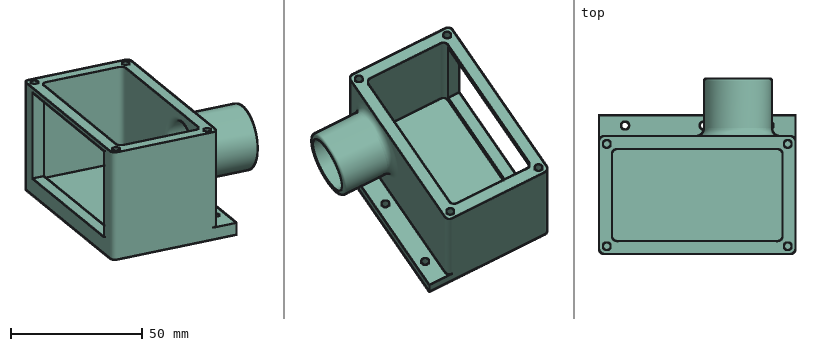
import cadquery as cq

length = 75.0
depth = 45.0
height = 45.0
corner_radius = 2.0
wall = 4.95
floor_thickness = 5.0

window_side_margin = 7.1
window_sill = 7.0
window_top_margin = 2.0

screw_diameter = 3.0
rim_hole_inset = 3.0
rim_hole_depth = 10.0

flange_width = 8.0
flange_thickness = 5.0
flange_hole_end_margin = 10.0
flange_hole_spacing = 30.0
flange_hole_inset = flange_width / 2

tube_x = 53.0
tube_z = 29.5
tube_length = 22.0
tube_radius = 26.0 / 2
bore_radius = 21.8 / 2
tube_base_fillet = 3.0
tube_end_fillet = 1.0
bore_entry_fillet = 2.0


def block(x_size, y_size, z_size, x=0.0, y=0.0, z=0.0):
    """Box with its lowest corner at (x, y, z)."""
    return cq.Workplane("XY").box(x_size, y_size, z_size, centered=False).translate((x, y, z))


def revolve_about_tube_axis(profile):
    """Turn a closed (radius, Y) profile about the tube axis, which runs along Y."""
    return profile.close().revolve(360, (0, 0, 0), (0, 1, 0)).translate((tube_x, 0, tube_z))


def make_housing():
    """Outer block with rounded upright corners, plus the square-cornered flange."""
    body = block(length, depth, height).edges("|Z").fillet(corner_radius)
    flange_start = depth / 2
    flange_end = depth + flange_width
    flange = block(length, flange_end - flange_start, flange_thickness, y=flange_start)
    return body.union(flange)


def make_tube():
    """Solid tube with a flared base, trimmed level with the top of the housing."""
    tube_start = depth - wall / 2
    tube_end = depth + tube_length
    flare_radius = tube_radius + tube_base_fillet
    profile = (
        cq.Workplane("XY")
        .moveTo(0, tube_start)
        .lineTo(flare_radius, tube_start)
        .lineTo(flare_radius, depth)
        .radiusArc((tube_radius, depth + tube_base_fillet), tube_base_fillet)
        .lineTo(tube_radius, tube_end - tube_end_fillet)
        .radiusArc((tube_radius - tube_end_fillet, tube_end), -tube_end_fillet)
        .lineTo(0, tube_end)
    )
    return revolve_about_tube_axis(profile).intersect(block(length, tube_end, height))


def make_bore():
    """Bore through the tube and back wall, with a rounded entry inside the housing."""
    entry_start = depth - wall
    entry_radius = bore_radius + bore_entry_fillet
    profile = (
        cq.Workplane("XY")
        .moveTo(0, entry_start)
        .lineTo(entry_radius, entry_start)
        .radiusArc((bore_radius, entry_start + bore_entry_fillet), bore_entry_fillet)
        .lineTo(bore_radius, depth + tube_length)
        .lineTo(0, depth + tube_length)
    )
    return revolve_about_tube_axis(profile)


def make_cavity():
    """Open-topped cavity with rounded upright corners."""
    cavity = block(
        length - 2 * wall, depth - 2 * wall, height - floor_thickness, wall, wall, floor_thickness
    )
    return cavity.edges("|Z").fillet(corner_radius)


def make_window():
    """Rectangular opening in the front wall; its sill stands above the cavity floor."""
    window_height = height - window_top_margin - window_sill
    return block(
        length - 2 * window_side_margin, wall, window_height, window_side_margin, 0, window_sill
    )


def make_screw_holes(centres, top, hole_depth):
    """Vertical holes going down from the given height."""
    return (
        cq.Workplane("XY", origin=(0, 0, top))
        .pushPoints(centres)
        .circle(screw_diameter / 2)
        .extrude(-hole_depth)
    )


rim_hole_centres = [
    (x, y)
    for x in (rim_hole_inset, length - rim_hole_inset)
    for y in (rim_hole_inset, depth - rim_hole_inset)
]
flange_hole_y = depth + flange_width - flange_hole_inset
flange_hole_centres = [
    (flange_hole_end_margin, flange_hole_y),
    (flange_hole_end_margin + flange_hole_spacing, flange_hole_y),
    (length - flange_hole_end_margin, flange_hole_y),
]

result = (
    make_housing()
    .union(make_tube())
    .cut(make_cavity())
    .cut(make_window())
    .cut(make_bore())
    .cut(make_screw_holes(rim_hole_centres, height, rim_hole_depth))
    .cut(make_screw_holes(flange_hole_centres, flange_thickness, flange_thickness))
)